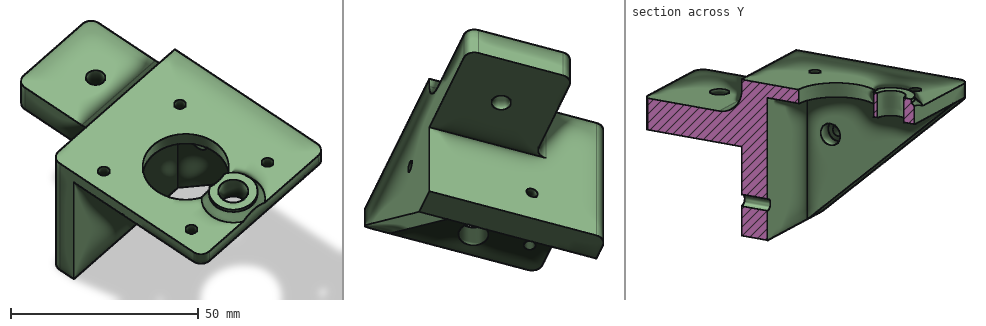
import cadquery as cq

length = 83.3
depth = 50.3
corner_radius = 3.0

wall_x = 30.0
wall_thickness = 8.0
plate_thickness = 4.0
plate_top = 44.0
plate_bottom = plate_top - plate_thickness
wall_inner_x = wall_x + wall_thickness
gusset_thickness = wall_thickness

arm_width = 30.0
arm_bottom = 25.0
arm_thickness = 9.0
arm_top = arm_bottom + arm_thickness
arm_front_y = depth - arm_width
arm_top_blend = 7.0
arm_side_blend = corner_radius
arm_hole_diameter = 5.2
arm_hole_x = arm_width / 2
arm_hole_y = depth - arm_width / 2

motor_x = 59.15
motor_y = 21.15
motor_diameter = 23.0
bolt_spacing = 31.0
screw_diameter = 3.2

boss_x = 76.0
boss_diameter = 13.0
boss_hole_diameter = 8.0
boss_height = 3.0
boss_cone_height = 2.0
boss_base_diameter = boss_diameter + 2 * boss_cone_height

wall_hole_z = 10.0
gusset_hole_x = 45.15
gusset_hole_z = 25.0
counterbore_diameter = 6.0
counterbore_depth = gusset_thickness / 2


def make_bracket():
    """Wall, top plate and gusset, trimmed to one rounded footprint."""
    angle = (
        cq.Workplane("XZ", origin=(0, depth, 0))
        .moveTo(wall_x, 0)
        .lineTo(wall_inner_x, 0)
        .lineTo(wall_inner_x, plate_bottom)
        .lineTo(length, plate_bottom)
        .lineTo(length, plate_top)
        .lineTo(wall_x, plate_top)
        .close()
        .extrude(depth)
    )
    gusset = (
        cq.Workplane("XZ", origin=(0, depth, 0))
        .moveTo(wall_inner_x, 0)
        .lineTo(length, plate_bottom)
        .lineTo(wall_inner_x, plate_bottom)
        .close()
        .extrude(gusset_thickness)
    )
    footprint = (
        cq.Workplane("XY")
        .box(length - wall_x, depth, plate_top, centered=False)
        .translate((wall_x, 0, 0))
        .edges("|Z and (>X or <Y)")
        .fillet(corner_radius)
    )
    return angle.union(gusset).intersect(footprint)


def make_arm():
    """Intersection of the arm's side profile and plan, so its blends meet in a mitre."""
    side_profile = (
        cq.Workplane("XZ", origin=(0, depth, 0))
        .moveTo(0, arm_bottom)
        .lineTo(wall_inner_x, arm_bottom)
        .lineTo(wall_inner_x, arm_top + arm_top_blend)
        .lineTo(wall_x, arm_top + arm_top_blend)
        .radiusArc((wall_x - arm_top_blend, arm_top), arm_top_blend)
        .lineTo(0, arm_top)
        .close()
        .extrude(depth)
    )
    plan = (
        cq.Workplane("XY")
        .moveTo(0, depth)
        .lineTo(0, arm_front_y)
        .lineTo(wall_x - arm_side_blend, arm_front_y)
        .radiusArc((wall_x, arm_front_y - arm_side_blend), arm_side_blend)
        .lineTo(wall_inner_x, arm_front_y - arm_side_blend)
        .lineTo(wall_inner_x, depth)
        .close()
        .extrude(plate_top)
        .edges("|Z and <X")
        .fillet(corner_radius)
    )
    return side_profile.intersect(plan)


def make_boss():
    """Cone topped by a short cylinder, cut flush with the plate's +X edge."""
    boss = (
        cq.Workplane("XY", origin=(boss_x, motor_y, plate_top))
        .circle(boss_base_diameter / 2)
        .workplane(offset=boss_cone_height)
        .circle(boss_diameter / 2)
        .loft()
        .faces(">Z")
        .workplane()
        .circle(boss_diameter / 2)
        .extrude(boss_height - boss_cone_height)
    )
    plate_extent = cq.Workplane("XY").box(length, depth, plate_top + boss_height, centered=False)
    return boss.intersect(plate_extent)


def plate_hole(x, y, diameter):
    """Vertical cutter through the top plate and anything above it."""
    return (
        cq.Workplane("XY", origin=(x, y, plate_bottom))
        .circle(diameter / 2)
        .extrude(plate_thickness + boss_height)
    )


result = make_bracket().union(make_arm()).union(make_boss())

result = result.cut(plate_hole(motor_x, motor_y, motor_diameter))
result = result.cut(plate_hole(boss_x, motor_y, boss_hole_diameter))

for x_side in (-1, 1):
    for y_side in (-1, 1):
        bolt_x = motor_x + x_side * bolt_spacing / 2
        bolt_y = motor_y + y_side * bolt_spacing / 2
        result = result.cut(plate_hole(bolt_x, bolt_y, screw_diameter))

arm_hole = (
    cq.Workplane("XY", origin=(arm_hole_x, arm_hole_y, arm_bottom))
    .circle(arm_hole_diameter / 2)
    .extrude(arm_thickness)
)
result = result.cut(arm_hole)

wall_hole = (
    cq.Workplane("YZ", origin=(wall_x, motor_y, wall_hole_z))
    .circle(screw_diameter / 2)
    .extrude(wall_thickness)
)
result = result.cut(wall_hole)

gusset_face = cq.Workplane("XZ", origin=(gusset_hole_x, depth - gusset_thickness, gusset_hole_z))
gusset_hole = gusset_face.circle(screw_diameter / 2).extrude(-gusset_thickness)
counterbore = gusset_face.circle(counterbore_diameter / 2).extrude(-counterbore_depth)
result = result.cut(gusset_hole).cut(counterbore)